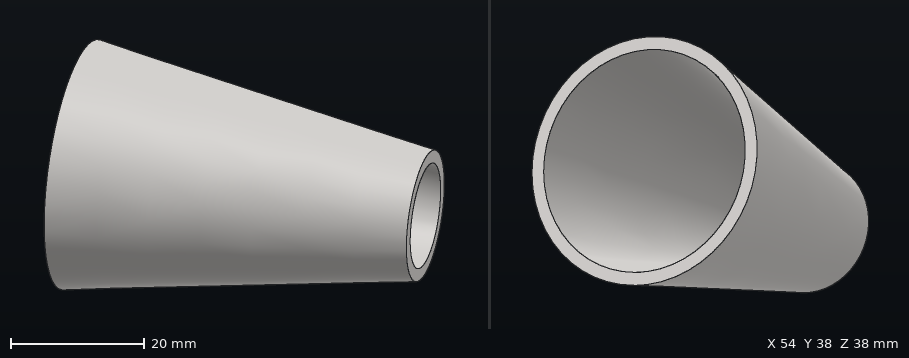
import cadquery as cq

length = 54.0
wall = 2.0
large_radius = 19.0
small_radius = 10.0

wall_section = [
    (0, large_radius - wall),
    (0, large_radius),
    (length, small_radius),
    (length, small_radius - wall),
]

result = cq.Workplane("XY").polyline(wall_section).close().revolve(360, (0, 0, 0), (1, 0, 0))